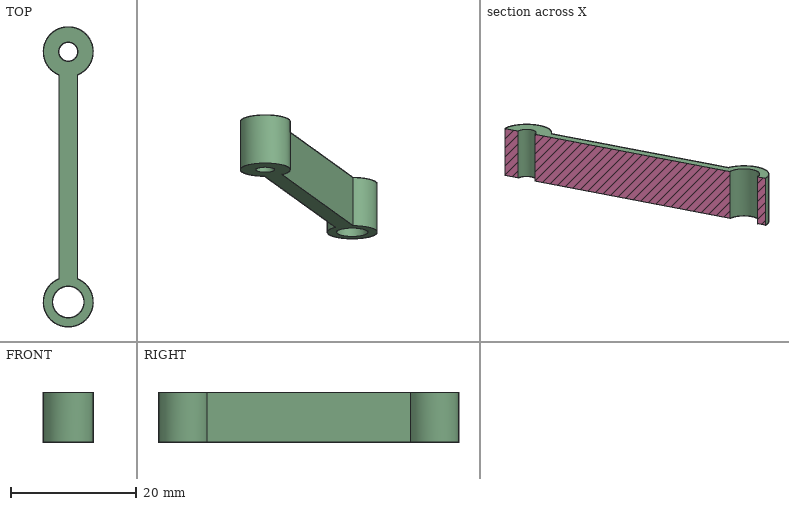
import cadquery as cq

height = 8.0
boss_diameter = 8.0
hole_spacing = 40.0
web_thickness = 3.0
front_bore_diameter = 5.0
rear_bore_diameter = 3.0

front_center = (0, -hole_spacing / 2)
rear_center = (0, hole_spacing / 2)


def upright_cylinder(center, diameter):
    """Full-height cylinder standing on the base plane."""
    return cq.Workplane("XY").center(*center).circle(diameter / 2).extrude(height)


def connecting_web():
    """Straight bar joining the two boss centers."""
    return cq.Workplane("XY").rect(web_thickness, hole_spacing).extrude(height)


result = connecting_web()
for boss_center in (front_center, rear_center):
    result = result.union(upright_cylinder(boss_center, boss_diameter))

for bore_center, bore_diameter in (
    (front_center, front_bore_diameter),
    (rear_center, rear_bore_diameter),
):
    result = result.cut(upright_cylinder(bore_center, bore_diameter))